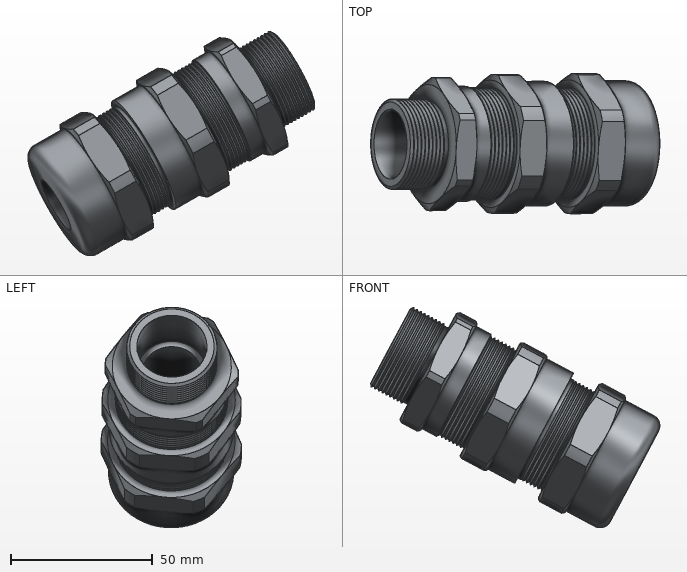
import cadquery as cq
import math

AXIS_TILT = 28.1
AXIS_YAW = 0.2
BORE_D = 20.5

PITCH = 1.5
ENTRY_THREAD_CREST_D = 31.9
ENTRY_THREAD_ROOT_D = 30.2
ENTRY_UNDERCUT_D = 30.4
ENTRY_FACE_D = 29.8
ENTRY_THREAD_TURNS = 9
JOINT_THREAD_CREST_D = 39.8
JOINT_THREAD_ROOT_D = 38.1
JOINT_THREAD_TURNS = 12

HEX_CHAMFER = 1.0
ENTRY_HEX_FLATS = 42.0
ENTRY_HEX_CORNER_D = 47.1
ENTRY_HEX_TURN = 5.9
NUT_HEX_FLATS = 45.0
MIDDLE_HEX_CORNER_D = 49.0
MIDDLE_HEX_TURN = 4.1
CAP_HEX_CORNER_D = 49.6
CAP_HEX_TURN = 6.8

ENTRY_HEX_START = 15.1
ENTRY_HEX_END = 23.4
ENTRY_COLLAR_END = 29.4
ENTRY_NECK_LENGTH = 0.2
ENTRY_COLLAR_D = 40.8
ENTRY_BORE_D = 24.7
ENTRY_BORE_DEPTH = 19.5

MIDDLE_HEX_START = 39.9
MIDDLE_HEX_END = 50.6
MIDDLE_COLLAR_END = 61.4
MIDDLE_COLLAR_D = 44.1
MIDDLE_NECK_D = 39.7
MIDDLE_NECK_LENGTH = 1.4

CAP_HEX_START = 71.2
CAP_HEX_END = 82.0
CAP_END = 97.5
CAP_D = 44.3
CAP_EDGE_RADIUS = 4.0

ENTRY_JOINT_START = ENTRY_COLLAR_END + ENTRY_NECK_LENGTH
ENTRY_BODY_END = ENTRY_JOINT_START + JOINT_THREAD_TURNS * PITCH
MIDDLE_THREAD_START = MIDDLE_COLLAR_END + MIDDLE_NECK_LENGTH
MIDDLE_BODY_END = MIDDLE_THREAD_START + JOINT_THREAD_TURNS * PITCH


def cylinder(start, end, diameter):
    """Cylinder on the axis between two stations."""
    return cq.Workplane("YZ", origin=(start, 0, 0)).circle(diameter / 2).extrude(end - start)


def revolved(outline):
    """Solid of revolution from an outline of (station, radius) points."""
    return cq.Workplane("XY").polyline(outline).close().revolve(360, (0, 0, 0), (1, 0, 0))


def thread(start, turns, first_d, second_d, face_d):
    """Threaded rod whose diameter goes from first_d to second_d and back once per pitch.

    The first flank starts from face_d.
    """
    outline = [(start, 0), (start, face_d / 2)]
    for turn in range(turns):
        ring_start = start + turn * PITCH
        outline.append((ring_start + PITCH / 2, second_d / 2))
        outline.append((ring_start + PITCH, first_d / 2))
    outline.append((start + turns * PITCH, 0))
    return revolved(outline)


def hexagon(start, end, flats, corner_d, turn):
    """Hexagon with rounded corners and a conical chamfer at both ends, turned about the axis."""
    prism = (
        cq.Workplane("YZ", origin=(start, 0, 0))
        .polygon(6, flats / math.cos(math.pi / 6))
        .extrude(end - start)
        .rotate((0, 0, 0), (1, 0, 0), turn)
    )
    envelope = revolved([
        (start, 0),
        (start, flats / 2),
        (start + HEX_CHAMFER, corner_d / 2),
        (end - HEX_CHAMFER, corner_d / 2),
        (end, flats / 2),
        (end, 0),
    ])
    return prism.intersect(envelope)


def tilted(body):
    """Solid of a body moved from the X axis to the tilted gland axis."""
    dipped = body.rotate((0, 0, 0), (0, 1, 0), AXIS_TILT)
    return dipped.rotate((0, 0, 0), (0, 0, 1), AXIS_YAW).solids().val()


def make_entry_body():
    """Entry thread, undercut, hexagon, collar and the thread that enters the middle body."""
    body = thread(0, ENTRY_THREAD_TURNS, ENTRY_THREAD_ROOT_D, ENTRY_THREAD_CREST_D, ENTRY_FACE_D)
    body = body.union(cylinder(ENTRY_THREAD_TURNS * PITCH, ENTRY_HEX_START, ENTRY_UNDERCUT_D))
    body = body.union(
        hexagon(ENTRY_HEX_START, ENTRY_HEX_END, ENTRY_HEX_FLATS, ENTRY_HEX_CORNER_D, ENTRY_HEX_TURN)
    )
    body = body.union(cylinder(ENTRY_HEX_END, ENTRY_COLLAR_END, ENTRY_COLLAR_D))
    body = body.union(cylinder(ENTRY_COLLAR_END, ENTRY_JOINT_START, JOINT_THREAD_CREST_D))
    joint_thread = thread(
        ENTRY_JOINT_START,
        JOINT_THREAD_TURNS,
        JOINT_THREAD_CREST_D,
        JOINT_THREAD_ROOT_D,
        JOINT_THREAD_CREST_D,
    )
    body = body.union(joint_thread)
    body = body.cut(cylinder(0, ENTRY_BORE_DEPTH, ENTRY_BORE_D))
    return body.cut(cylinder(0, ENTRY_BODY_END, BORE_D))


def make_middle_body():
    """Hexagon and collar around the entry body, then a neck and the thread that enters the cap."""
    body = hexagon(
        MIDDLE_HEX_START, MIDDLE_HEX_END, NUT_HEX_FLATS, MIDDLE_HEX_CORNER_D, MIDDLE_HEX_TURN
    )
    body = body.union(cylinder(MIDDLE_HEX_END, MIDDLE_COLLAR_END, MIDDLE_COLLAR_D))
    body = body.union(cylinder(MIDDLE_COLLAR_END, MIDDLE_THREAD_START, MIDDLE_NECK_D))
    joint_thread = thread(
        MIDDLE_THREAD_START,
        JOINT_THREAD_TURNS,
        JOINT_THREAD_ROOT_D,
        JOINT_THREAD_CREST_D,
        JOINT_THREAD_ROOT_D,
    )
    body = body.union(joint_thread)
    body = body.cut(cylinder(MIDDLE_HEX_START, ENTRY_BODY_END, JOINT_THREAD_CREST_D))
    return body.cut(cylinder(MIDDLE_HEX_START, MIDDLE_BODY_END, BORE_D))


def make_cap():
    """Hexagon around the middle body's thread and a round sleeve with a rounded end."""
    sleeve = cylinder(CAP_HEX_END, CAP_END, CAP_D).faces(">X").edges().fillet(CAP_EDGE_RADIUS)
    body = hexagon(CAP_HEX_START, CAP_HEX_END, NUT_HEX_FLATS, CAP_HEX_CORNER_D, CAP_HEX_TURN)
    body = body.union(sleeve)
    body = body.cut(cylinder(CAP_HEX_START, MIDDLE_BODY_END, JOINT_THREAD_CREST_D))
    return body.cut(cylinder(CAP_HEX_START, CAP_END, BORE_D))


entry_body = tilted(make_entry_body())
middle_body = tilted(make_middle_body())
cap = tilted(make_cap())

result = cq.Compound.makeCompound([entry_body, middle_body, cap])